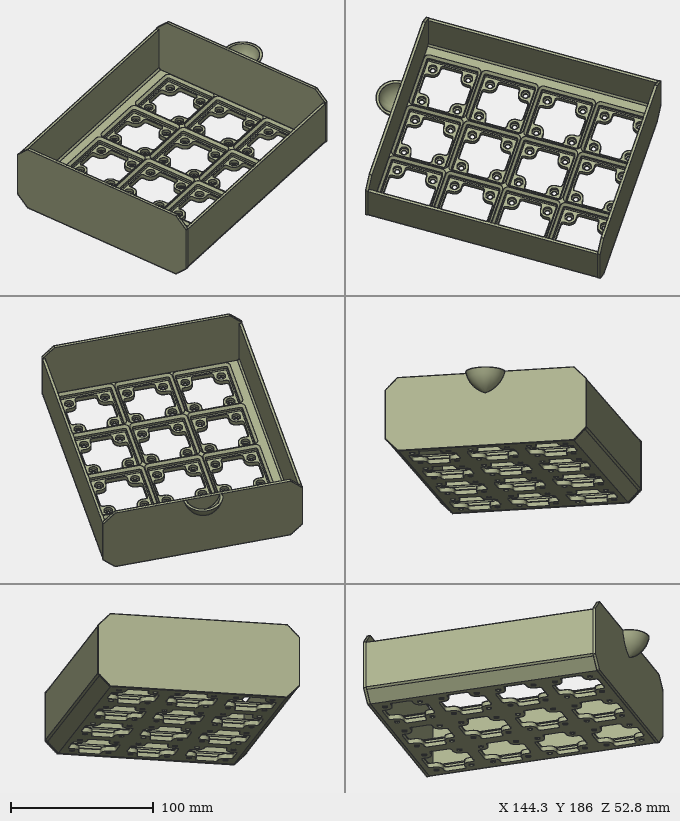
import cadquery as cq
import math

OUTER_WIDTH = 144.3
OUTER_LENGTH = 186.0
OUTER_HEIGHT = 52.8

COLUMNS = 3
ROWS = 4
END_PLATE_THICKNESS = 2.0
HANDLE_REACH = 14.0
BOX_LENGTH = OUTER_LENGTH - HANDLE_REACH
INNER_LENGTH = BOX_LENGTH - 2 * END_PLATE_THICKNESS
PITCH = INNER_LENGTH / ROWS

TROUGH_CHAMFER = (OUTER_WIDTH - COLUMNS * PITCH) / 2
PLATE_CHAMFER = 8.7

SCREW_HOLE_DIAMETER = 3.5
COUNTERBORE_DIAMETER = 6.1
COUNTERBORE_DEPTH = 2.5
COUNTERBORE_WEB = 1.0
FLOOR_THICKNESS = COUNTERBORE_WEB + COUNTERBORE_DEPTH
CELL_UPPER_BEVEL = 1.9
CELL_STRAIGHT = 1.9
CELL_LOWER_BEVEL = 0.7
CELL_DEPTH = CELL_UPPER_BEVEL + CELL_STRAIGHT + CELL_LOWER_BEVEL
BASE_TOP = FLOOR_THICKNESS + CELL_DEPTH
RIB_LAND = 0.5
CELL_TOP_SIZE = PITCH - RIB_LAND
CELL_TOP_RADIUS = 3.3

WINDOW_SIZE = 34.0
SCREW_SPACING = 26.0
PAD_RADIUS = 5.0
WINDOW_FILLET = 1.9

WALL_THICKNESS = 2.0
WALL_TOP = OUTER_HEIGHT - TROUGH_CHAMFER
WALL_FOOT_BEVEL = TROUGH_CHAMFER - BASE_TOP

HANDLE_DEPTH = 15.0
HANDLE_SHELL = 2.0
HANDLE_BULGE = 2.8


def cell_centers():
    """X and Y of every cell in the grid, which is centred on the origin."""
    return [
        ((column - (COLUMNS - 1) / 2) * PITCH, (row - (ROWS - 1) / 2) * PITCH)
        for column in range(COLUMNS)
        for row in range(ROWS)
    ]


def rounded_frustum(bottom_size, bottom_radius, top_size, top_radius, z, height):
    """Square with rounded corners at z, blended to another one at z + height."""
    bottom = cq.Sketch().rect(bottom_size, bottom_size).vertices().fillet(bottom_radius)
    top = cq.Sketch().rect(top_size, top_size).vertices().fillet(top_radius)
    return (
        cq.Workplane("XY", origin=(0, 0, z))
        .placeSketch(bottom, top.moved(cq.Location(cq.Vector(0, 0, height))))
        .loft()
    )


def cell_recess():
    """Stepped recess: a bevel, a straight stretch, then a second bevel at the rim."""
    middle_size = CELL_TOP_SIZE - 2 * CELL_UPPER_BEVEL
    middle_radius = CELL_TOP_RADIUS - CELL_UPPER_BEVEL
    floor_size = middle_size - 2 * CELL_LOWER_BEVEL
    floor_radius = middle_radius - CELL_LOWER_BEVEL
    straight_z = FLOOR_THICKNESS + CELL_LOWER_BEVEL
    rim_z = straight_z + CELL_STRAIGHT
    lower = rounded_frustum(
        floor_size, floor_radius, middle_size, middle_radius, FLOOR_THICKNESS, CELL_LOWER_BEVEL
    )
    straight = rounded_frustum(
        middle_size, middle_radius, middle_size, middle_radius, straight_z, CELL_STRAIGHT
    )
    upper = rounded_frustum(
        middle_size, middle_radius, CELL_TOP_SIZE, CELL_TOP_RADIUS, rim_z, CELL_UPPER_BEVEL
    )
    return lower.union(straight).union(upper)


def cell_window():
    """Square opening that leaves a rounded screw pad in each corner."""
    pad_reach = WINDOW_SIZE / 2 - SCREW_SPACING / 2 + PAD_RADIUS
    pads = (
        cq.Workplane("XY")
        .rect(WINDOW_SIZE, WINDOW_SIZE, forConstruction=True)
        .vertices()
        .rect(2 * pad_reach, 2 * pad_reach)
        .extrude(FLOOR_THICKNESS)
        .edges("|Z")
        .fillet(PAD_RADIUS)
    )
    window = cq.Workplane("XY").rect(WINDOW_SIZE, WINDOW_SIZE).extrude(FLOOR_THICKNESS).cut(pads)
    outer_corners = window.edges("|Z and (>X or <X or >Y or <Y)")
    return outer_corners.fillet(WINDOW_FILLET)


def pad_cylinders(diameter, z, height):
    """Four cylinders standing at z, one on each screw position of a cell."""
    return (
        cq.Workplane("XY", origin=(0, 0, z))
        .rect(SCREW_SPACING, SCREW_SPACING, forConstruction=True)
        .vertices()
        .circle(diameter / 2)
        .extrude(height)
    )


def screw_holes():
    """Counterbored holes of one cell, one in each pad."""
    through = pad_cylinders(SCREW_HOLE_DIAMETER, 0, FLOOR_THICKNESS)
    counterbores = pad_cylinders(COUNTERBORE_DIAMETER, COUNTERBORE_WEB, COUNTERBORE_DEPTH)
    return through.union(counterbores)


def section_prism(points):
    """Prism between the end plates from an outline in X and Z."""
    return (
        cq.Workplane("XZ", origin=(0, INNER_LENGTH / 2, 0))
        .polyline(points)
        .close()
        .extrude(INNER_LENGTH)
    )


def chamfer_x(z):
    """Half width of the trough at height z on its lower corner chamfer."""
    return OUTER_WIDTH / 2 - TROUGH_CHAMFER + z


def make_base():
    """Slab with sloping long edges, recessed and opened at every cell."""
    half_bottom = chamfer_x(0)
    half_top = chamfer_x(BASE_TOP)
    base = section_prism(
        [(-half_bottom, 0), (half_bottom, 0), (half_top, BASE_TOP), (-half_top, BASE_TOP)]
    )
    cell = cell_recess().union(cell_window()).union(screw_holes())
    for x, y in cell_centers():
        base = base.cut(cell.translate((x, y, 0)))
    return base


def make_side_wall():
    """Wall on the -X side, standing on the sloping edge of the base."""
    outer = OUTER_WIDTH / 2
    inner = outer - WALL_THICKNESS
    return section_prism(
        [
            (-chamfer_x(BASE_TOP), BASE_TOP),
            (-outer, TROUGH_CHAMFER),
            (-outer, WALL_TOP),
            (-inner, WALL_TOP),
            (-inner, TROUGH_CHAMFER),
            (-inner + WALL_FOOT_BEVEL, BASE_TOP),
        ]
    )


def make_end_plate():
    """Octagonal plate centred on Y = 0."""
    return (
        cq.Workplane("XY")
        .box(OUTER_WIDTH, END_PLATE_THICKNESS, OUTER_HEIGHT, centered=(True, True, False))
        .edges("|Y")
        .chamfer(PLATE_CHAMFER)
    )


def bowl(radius, depth):
    """Solid half bowl on the +Y side of the origin, its flat top at Z = 0."""
    length = math.hypot(radius, depth)
    middle = (
        radius / 2 + HANDLE_BULGE * depth / length,
        -depth / 2 - HANDLE_BULGE * radius / length,
    )
    return (
        cq.Workplane("XZ")
        .lineTo(radius, 0)
        .threePointArc(middle, (0, -depth))
        .close()
        .revolve(180, (0, 0), (0, 1))
    )


def make_handle():
    """Hollow bowl on the +Y end plate, level with its top edge."""
    outer = bowl(HANDLE_REACH, HANDLE_DEPTH)
    inner = bowl(HANDLE_REACH - HANDLE_SHELL, HANDLE_DEPTH - HANDLE_SHELL)
    handle = outer.cut(inner)
    return handle.translate((0, BOX_LENGTH / 2, OUTER_HEIGHT))


base = make_base()

left_wall = make_side_wall()
side_walls = [left_wall, left_wall.mirror("YZ")]

end_plate = make_end_plate()
end_plates = [
    end_plate.translate((0, side * (BOX_LENGTH - END_PLATE_THICKNESS) / 2, 0)) for side in (-1, 1)
]

handle = make_handle()

result = cq.Compound.makeCompound(
    [
        base.val(),
        *[wall.val() for wall in side_walls],
        *[plate.val() for plate in end_plates],
        handle.val(),
    ]
)